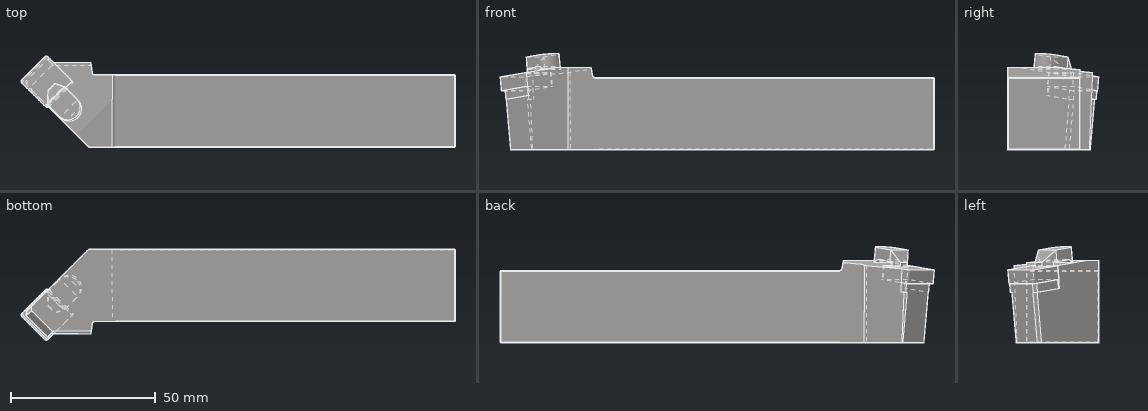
import cadquery as cq
import math

LENGTH = 150.0
SHANK = 25.0
SHANK_CHAMFER = 0.3

HEAD_HEIGHT = 28.5
HEAD_WIDTH_BASE = 28.2
HEAD_WIDTH_TOP = 29.4
HEAD_END_TOP = 31.5
SIDE_END = 24.2
STEP_RUN = 0.6
STEP_FILLET = 0.8
APPROACH_X = 23.4

INSERT_SIDE = 12.8
INSERT_THICKNESS = 4.8
INSERT_RADIUS = 0.8
INSERT_X = 8.7
INSERT_Y = 22.8
INSERT_TOP = 26.0
TILT = math.radians(7)
SHIM_THICKNESS = 3.2
SHIM_STEP = 0.2
NOSE_INSET = 0.8
NOSE_CHAMFER = 1.0

CLAMP_LEFT = -5.4
CLAMP_RIGHT = 3.2
CLAMP_TIP = -2.8
CLAMP_TIP_LEFT = -1.8
CLAMP_TIP_RIGHT = 1.6
CLAMP_SHOULDER = -6.6
CLAMP_HEEL = -12.5
CLAMP_HEIGHT = 5.4
CLAMP_TIP_HEIGHT = 1.5
GAP_START = -5.7
GAP_RAMP = -12.5
GAP_END = -14.7
GAP_HEIGHT = 1.4

SHANK_START = HEAD_END_TOP + STEP_RUN + STEP_FILLET
HALF = INSERT_SIDE / 2
NOSE_EDGE = HALF - NOSE_INSET
FLOOR = INSERT_THICKNESS + SHIM_THICKNESS
REACH = 90.0

DIAGONAL = math.sqrt(0.5)
SEAT = cq.Plane(
    origin=(INSERT_X, INSERT_Y, INSERT_TOP),
    xDir=(1, 1, 0),
    normal=(-DIAGONAL * math.sin(TILT), DIAGONAL * math.sin(TILT), math.cos(TILT)),
)
FRONT_FACE = (APPROACH_X - INSERT_X - INSERT_Y) * DIAGONAL


def seat_block(x_range, y_range, z_range):
    """Box given by its ranges in the seat frame."""
    return (
        cq.Workplane(SEAT)
        .workplane(offset=z_range[0])
        .moveTo(sum(x_range) / 2, sum(y_range) / 2)
        .rect(x_range[1] - x_range[0], y_range[1] - y_range[0])
        .extrude(z_range[1] - z_range[0])
    )


def make_insert():
    return (
        seat_block((-HALF, HALF), (-HALF, HALF), (-INSERT_THICKNESS, 0))
        .edges(cq.selectors.ParallelDirSelector(SEAT.zDir))
        .fillet(INSERT_RADIUS)
    )


def make_shank():
    return (
        cq.Workplane("XY")
        .box(LENGTH - SHANK_START, SHANK, SHANK, centered=False)
        .translate((SHANK_START, 0, 0))
        .edges("(|X and (>Z or >Y)) or >X")
        .chamfer(SHANK_CHAMFER)
    )


def stepped_outline(plane, step_x, height):
    """Closed outline that drops from height to the shank over a sloping step."""
    step_foot = step_x + STEP_RUN
    return (
        cq.Workplane(plane)
        .polyline([
            (0, 0), (SHANK_START, 0), (SHANK_START, SHANK), (step_foot, SHANK),
            (step_x, height), (0, height),
        ])
        .close()
    )


def fillet_step(solid, step_x, direction):
    foot = (step_x + STEP_RUN, SHANK, SHANK)
    return solid.edges(direction).edges(cq.selectors.NearestToPointSelector(foot)).fillet(STEP_FILLET)


def make_head():
    """Raised head with a sloping back side and a 45 degree front face."""
    side = stepped_outline("XZ", HEAD_END_TOP, HEAD_HEIGHT).extrude(-2 * SHANK)
    side = fillet_step(side, HEAD_END_TOP, "|Y")
    plan = stepped_outline("XY", SIDE_END, HEAD_WIDTH_TOP).extrude(2 * SHANK)
    plan = fillet_step(plan, SIDE_END, "|Z")
    section = (
        cq.Workplane("YZ")
        .polyline([(0, 0), (HEAD_WIDTH_BASE, 0), (HEAD_WIDTH_TOP, HEAD_HEIGHT), (0, HEAD_HEIGHT)])
        .close()
        .extrude(REACH)
    )
    in_front = (
        cq.Workplane("XY")
        .polyline([(0, 0), (APPROACH_X, 0), (0, APPROACH_X)])
        .close()
        .extrude(HEAD_HEIGHT)
    )
    above_slope = seat_block((-REACH, REACH), (-REACH, REACH), (0, REACH))
    return side.intersect(plan).intersect(section).cut(in_front).cut(above_slope)


def seat_corner(x, y, z):
    """Selector for the edge that passes nearest to a point in the seat frame."""
    return cq.selectors.NearestToPointSelector(SEAT.toWorldCoords((x, y, z)).toTuple())


def make_nose(front, end, back, bottom, top):
    """Block below the insert, chamfered at its leading corner."""
    block = seat_block((front, back), (-HALF, end), (bottom, top))
    return block.edges(seat_corner(front, end, (bottom + top) / 2)).chamfer(NOSE_CHAMFER)


def make_shim():
    """Support plate under the insert, rounded like it at the inner front corner."""
    front = FRONT_FACE - SHIM_STEP
    shim = make_nose(front, NOSE_EDGE, HALF, -FLOOR, -INSERT_THICKNESS)
    middle = -(FLOOR + INSERT_THICKNESS) / 2
    return shim.edges(seat_corner(front, -HALF, middle)).fillet(INSERT_RADIUS)


def make_clamp():
    """Round-ended clamp with a ramped tip and a relieved underside."""
    center = (CLAMP_LEFT + CLAMP_RIGHT) / 2
    radius = (CLAMP_RIGHT - CLAMP_LEFT) / 2
    outline = (
        cq.Workplane(SEAT)
        .moveTo(CLAMP_LEFT, CLAMP_HEEL)
        .lineTo(CLAMP_LEFT, CLAMP_SHOULDER)
        .lineTo(CLAMP_TIP_LEFT, CLAMP_TIP)
        .lineTo(CLAMP_TIP_RIGHT, CLAMP_TIP)
        .lineTo(CLAMP_RIGHT, CLAMP_SHOULDER)
        .lineTo(CLAMP_RIGHT, CLAMP_HEEL)
        .threePointArc((center, CLAMP_HEEL - radius), (CLAMP_LEFT, CLAMP_HEEL))
        .close()
        .extrude(CLAMP_HEIGHT)
    )
    profile_plane = cq.Plane(origin=SEAT.origin, xDir=SEAT.yDir, normal=SEAT.xDir)
    ramp = (
        cq.Workplane(profile_plane)
        .polyline([
            (CLAMP_SHOULDER, CLAMP_HEIGHT), (CLAMP_TIP, CLAMP_TIP_HEIGHT), (CLAMP_TIP, CLAMP_HEIGHT),
        ])
        .close()
        .extrude(REACH, both=True)
    )
    gap = (
        cq.Workplane(profile_plane)
        .polyline([(GAP_START, 0), (GAP_START, GAP_HEIGHT), (GAP_RAMP, GAP_HEIGHT), (GAP_END, 0)])
        .close()
        .extrude(REACH, both=True)
    )
    return outline.cut(ramp).cut(gap)


def make_holder():
    pocket = seat_block((-REACH, HALF), (-HALF, REACH), (-FLOOR, 0))
    below_base = cq.Workplane("XY").box(2 * REACH, 2 * REACH, 2 * REACH).translate((0, 0, -REACH))
    nose = make_nose(FRONT_FACE, NOSE_EDGE, NOSE_EDGE, -REACH, -FLOOR).cut(below_base)
    nose_space = seat_block((-REACH, NOSE_EDGE), (-HALF, REACH), (-REACH, 0))
    body = make_head().cut(nose_space).cut(pocket).union(make_shank())
    return body.union(nose).union(make_shim()).union(make_clamp())


insert = make_insert()
holder = make_holder()
result = cq.Compound.makeCompound([holder.solids().val(), insert.val()])